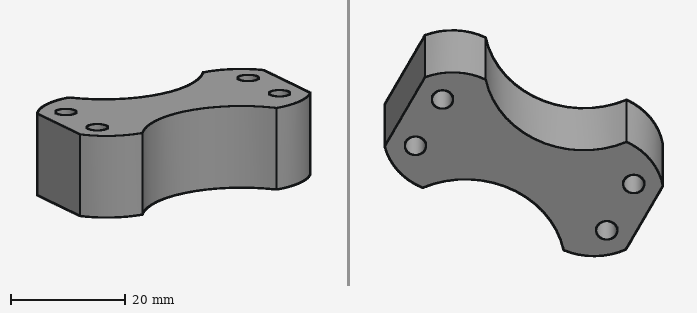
import cadquery as cq
import math

length = 47.0
height = 15.0

end_radius = 12.195
back_flat_half = 7.8
front_flat_half = 7.15

waist_half = 5.4
waist_corner_y = 13.8

hole_diameter = 3.7
hole_spacing_x = 10.45
hole_spacing_y = 37.5


def arc_middle_point(flat_half):
    """Point midway along an end arc, as x and distance inward from the flat."""
    sweep = math.acos(flat_half / end_radius)
    center_inset = end_radius * math.sin(sweep)
    x = end_radius * math.cos(sweep / 2)
    inset = center_inset - end_radius * math.sin(sweep / 2)
    return x, inset


half_length = length / 2
back_x, back_inset = arc_middle_point(back_flat_half)
front_x, front_inset = arc_middle_point(front_flat_half)
back_y = half_length - back_inset
front_y = front_inset - half_length

body = (
    cq.Workplane("XY")
    .moveTo(-front_flat_half, -half_length)
    .lineTo(front_flat_half, -half_length)
    .threePointArc((front_x, front_y), (end_radius, -waist_corner_y))
    .threePointArc((waist_half, 0), (end_radius, waist_corner_y))
    .threePointArc((back_x, back_y), (back_flat_half, half_length))
    .lineTo(-back_flat_half, half_length)
    .threePointArc((-back_x, back_y), (-end_radius, waist_corner_y))
    .threePointArc((-waist_half, 0), (-end_radius, -waist_corner_y))
    .threePointArc((-front_x, front_y), (-front_flat_half, -half_length))
    .close()
    .extrude(height)
)

result = (
    body.faces(">Z")
    .workplane(origin=(0, 0, height))
    .rarray(hole_spacing_x, hole_spacing_y, 2, 2)
    .hole(hole_diameter)
)